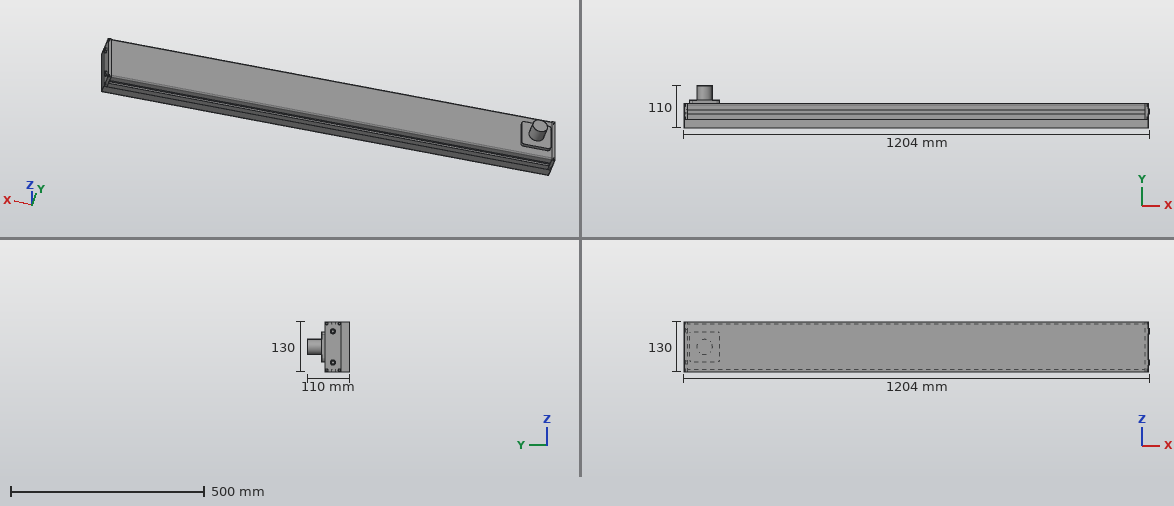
import cadquery as cq

TOTAL_LENGTH = 1204.0
BODY_HEIGHT = 130.0
TOTAL_DEPTH = 110.0
COVER_DEPTH = 22.0
BODY_DEPTH = 64.0

CAP_THICKNESS = 8.0
SCREW_HOLE_DIAMETER = 6.0
SCREW_HOLE_INSET = 5.0
SCREW_HOLE_DEPTH = 4.0

PLUG_DIAMETER = 13.0
PLUG_PROTRUSION = 4.0
PLUG_SPACING = 81.0
PLUG_Y = 43.0
SOCKET_BORE_DIAMETER = 8.0

GROOVE_FRONT_Y = 36.0
GROOVE_WIDTH = 11.0
GROOVE_DEPTH = 6.0
BACK_EDGE_RADIUS = 4.0

MOUNT_X = 53.0
FLANGE_SIZE = 78.0
FLANGE_THICKNESS = 8.0
FLANGE_CORNER_RADIUS = 7.0
STEM_DIAMETER = 40.0

BODY_LENGTH = TOTAL_LENGTH - PLUG_PROTRUSION
HOUSING_LENGTH = BODY_LENGTH - 2 * CAP_THICKNESS
HOUSING_DEPTH = BODY_DEPTH - COVER_DEPTH


def block(x_start, y_start, length, depth, height=BODY_HEIGHT):
    """Box that is centred on Z = 0 and starts at the given X and Y."""
    box = cq.Workplane().box(length, depth, height, centered=(False, False, True))
    return box.translate((x_start, y_start, 0))


def make_cover():
    return block(0, 0, BODY_LENGTH, COVER_DEPTH)


def make_housing():
    housing = block(CAP_THICKNESS, COVER_DEPTH, HOUSING_LENGTH, HOUSING_DEPTH)
    housing = housing.edges("|X and >Y").fillet(BACK_EDGE_RADIUS)
    for side in (-1, 1):
        groove = block(CAP_THICKNESS, GROOVE_FRONT_Y, HOUSING_LENGTH, GROOVE_WIDTH, 2 * GROOVE_DEPTH)
        housing = housing.cut(groove.translate((0, 0, side * BODY_HEIGHT / 2)))
    return housing


def make_cap(x_start):
    return block(x_start, COVER_DEPTH, CAP_THICKNESS, HOUSING_DEPTH)


def make_cylinder_pair(x_start, length, diameter):
    """Two cylinders along X, one above the other, where the plugs and sockets lie."""
    return (
        cq.Workplane("YZ", origin=(x_start, PLUG_Y, 0))
        .rarray(12, PLUG_SPACING, 1, 2)
        .circle(diameter / 2)
        .extrude(length)
    )


def make_screw_holes(x_start):
    """Four recesses along X, one near each corner of a cap."""
    y_spacing = HOUSING_DEPTH - 2 * SCREW_HOLE_INSET
    z_spacing = BODY_HEIGHT - 2 * SCREW_HOLE_INSET
    return (
        cq.Workplane("YZ", origin=(x_start, COVER_DEPTH + HOUSING_DEPTH / 2, 0))
        .rarray(y_spacing, z_spacing, 2, 2)
        .circle(SCREW_HOLE_DIAMETER / 2)
        .extrude(SCREW_HOLE_DEPTH)
    )


def make_left_cap():
    """Cap with two stepped sockets: a shallow recess and a narrower through bore."""
    cap = make_cap(0)
    cap = cap.cut(make_screw_holes(0))
    cap = cap.cut(make_cylinder_pair(0, PLUG_PROTRUSION, PLUG_DIAMETER))
    return cap.cut(make_cylinder_pair(0, CAP_THICKNESS, SOCKET_BORE_DIAMETER))


def make_right_cap():
    """Cap with two plugs that stand out of its outer face."""
    cap = make_cap(BODY_LENGTH - CAP_THICKNESS)
    cap = cap.cut(make_screw_holes(BODY_LENGTH - SCREW_HOLE_DEPTH))
    return cap.union(make_cylinder_pair(BODY_LENGTH, PLUG_PROTRUSION, PLUG_DIAMETER))


def make_mount():
    flange = block(MOUNT_X - FLANGE_SIZE / 2, BODY_DEPTH, FLANGE_SIZE, FLANGE_THICKNESS, FLANGE_SIZE)
    flange = flange.edges("|Y").fillet(FLANGE_CORNER_RADIUS)
    stem = (
        cq.Workplane("XZ", origin=(MOUNT_X, TOTAL_DEPTH, 0))
        .circle(STEM_DIAMETER / 2)
        .extrude(TOTAL_DEPTH - BODY_DEPTH - FLANGE_THICKNESS)
    )
    return flange.union(stem)


cover = make_cover()
housing = make_housing()
left_cap = make_left_cap()
right_cap = make_right_cap()
mount = make_mount()

result = cq.Compound.makeCompound(
    [cover.val(), housing.val(), left_cap.val(), right_cap.val(), mount.val()]
)